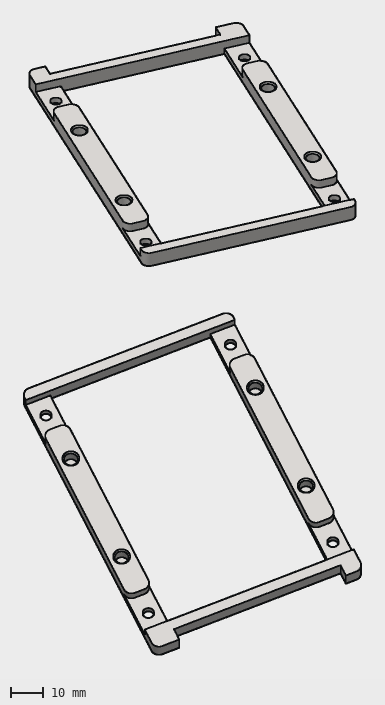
import cadquery as cq

length = 100.0
width = 69.8
height = 5.0
corner_radius = 2.5

rail_width = 8.2
rail_height = 2.1
bar_width = 3.5
left_bar_inset = 4.0
front_block_width = 6.0
left_block_length = left_bar_inset + bar_width
right_bar_start = length - bar_width
opening_width = width - 2 * rail_width

pad_start = 20.6
pad_length = 63.4
pad_radius = 2.5

through_diameter = 3.5
through_positions = (14.0, 90.6)
blind_diameter = 4.2
blind_positions = (34.0, 72.0)
blind_depth = 4.0
blind_chamfer = 0.5
rail_centers = (rail_width / 2, width - rail_width / 2)


def block(x, y, z, size_x, size_y, size_z):
    """Box placed by its lowest corner."""
    return cq.Workplane("XY").box(size_x, size_y, size_z, centered=False).translate((x, y, z))


def make_frame():
    """Full-height frame with rounded corners, open center and an inset left bar."""
    frame = block(0, 0, 0, length, width, height).edges("|Z").fillet(corner_radius)
    opening_length = right_bar_start - left_block_length
    frame = frame.cut(block(left_block_length, rail_width, 0, opening_length, opening_width, height))
    notch_width = width - rail_width - front_block_width
    return frame.cut(block(0, front_block_width, 0, left_bar_inset, notch_width, height))


def make_rail_recess(rail_center):
    """Volume above one rail, leaving its rounded pad standing."""
    recess = block(
        left_block_length,
        rail_center - rail_width / 2,
        rail_height,
        right_bar_start - left_block_length,
        rail_width,
        height - rail_height,
    )
    pad = block(
        pad_start,
        rail_center - rail_width / 2,
        rail_height,
        pad_length,
        rail_width,
        height - rail_height,
    )
    return recess.cut(pad.edges("|Z").fillet(pad_radius))


def make_through_hole(x, y):
    return cq.Workplane("XY").center(x, y).circle(through_diameter / 2).extrude(height)


def make_blind_hole(x, y):
    """Blind hole with a chamfered mouth at the top of a pad."""
    radius = blind_diameter / 2
    floor = height - blind_depth
    profile = [
        (0, floor),
        (radius, floor),
        (radius, height - blind_chamfer),
        (radius + blind_chamfer, height),
        (0, height),
    ]
    hole = cq.Workplane("XZ").polyline(profile).close().revolve(360, (0, 0), (0, 1))
    return hole.translate((x, y, 0))


result = make_frame()
for rail_y in rail_centers:
    result = result.cut(make_rail_recess(rail_y))
    for hole_x in through_positions:
        result = result.cut(make_through_hole(hole_x, rail_y))
    for hole_x in blind_positions:
        result = result.cut(make_blind_hole(hole_x, rail_y))